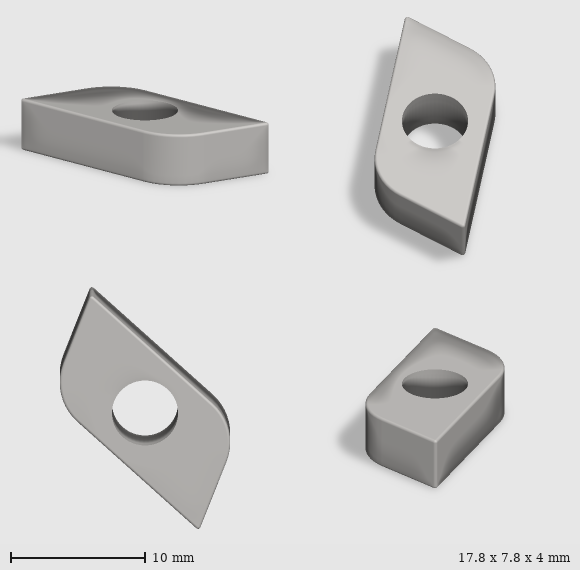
import cadquery as cq
import math

length = 17.82
width = 7.8
thickness = 4.0

lean_angle = math.radians(21)
corner_radius = 4.0
edge_radius = 0.2
hole_diameter = 4.92

tip_angle = math.pi / 2 - lean_angle
tip_setback = edge_radius / math.tan(tip_angle / 2) - edge_radius
tip_x = length / 2 + tip_setback
half_width = width / 2
blunt_x = tip_x - width * math.tan(lean_angle)

outline = [
    (-tip_x, -half_width),
    (blunt_x, -half_width),
    (tip_x, half_width),
    (-blunt_x, half_width),
]


def round_corners(body, x, y, radius):
    """Round the upright edge at (x, y) and the one diagonally opposite."""
    for side in (1, -1):
        corner = cq.selectors.NearestToPointSelector((side * x, side * y, thickness / 2))
        body = body.edges("|Z").edges(corner).fillet(radius)
    return body


body = cq.Workplane("XY").polyline(outline).close().extrude(thickness)
body = round_corners(body, blunt_x, -half_width, corner_radius)
body = round_corners(body, tip_x, half_width, edge_radius)

body = body.faces("<Z or >Z").edges().fillet(edge_radius)

result = body.faces(">Z").workplane(origin=(0, 0, thickness)).hole(hole_diameter)